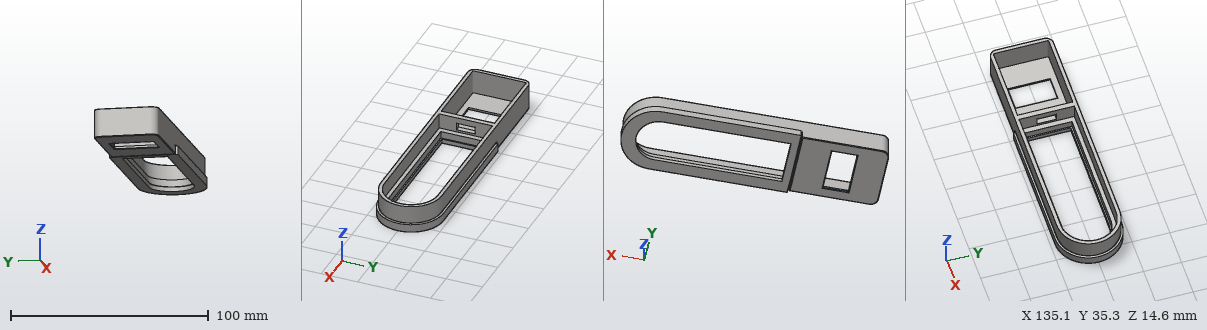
import cadquery as cq

length = 135.1
height = 14.6
bezel_width = 35.3
housing_width = 33.2
wall = 2.0

end_x = length - bezel_width / 2
opening_end_x = 115.9

corner_radius = 4.0
pocket_corner_radius = 0.7
bottom_chamfer = 0.4
floor_thickness = 1.5
divider_start = 43.5
divider_end = 46.3
step_x = 45.3
cavity_width = housing_width - 2 * wall

window_start = 15.8
window_length = 13.1
window_width = 22.4

slot_width = 10.3
slot_height = 3.9
slot_bottom = 7.4

bezel_start = 46.1
flange_height = 4.5
rim_height = 6.2
seat_height = 2.4
seat_start = 49.2
seat_width = 24.9
opening_start = 50.0
opening_width = 23.2


def round_ended_bar(start_x, width, bottom, top, centre_x=end_x):
    """Bar with a square end at start_x and a half-round end centred on centre_x."""
    radius = width / 2
    return (
        cq.Workplane("XY", origin=(0, 0, bottom))
        .moveTo(start_x, -radius)
        .lineTo(centre_x, -radius)
        .threePointArc((centre_x + radius, 0), (centre_x, radius))
        .lineTo(start_x, radius)
        .close()
        .extrude(top - bottom)
    )


def box(start_x, size_x, size_y, bottom, size_z):
    """Box centred on Y."""
    return cq.Workplane("XY", origin=(start_x, 0, bottom)).box(
        size_x, size_y, size_z, centered=(False, True, False)
    )


def make_housing():
    upper = round_ended_bar(0, housing_width, flange_height, height)
    lower = box(0, step_x, housing_width, 0, flange_height)
    body = upper.union(lower)
    body = body.edges("|Z and <X").fillet(corner_radius)

    body = body.cut(box(window_start, window_length, window_width, 0, height))
    body = body.faces("<Z").chamfer(bottom_chamfer)

    pocket_length = divider_start - wall
    pocket = box(wall, pocket_length, cavity_width, floor_thickness, height)
    pocket = pocket.edges("|Z and <X").fillet(pocket_corner_radius)

    cavity = round_ended_bar(divider_end, cavity_width, 0, height)

    slot = box(divider_start, divider_end - divider_start, slot_width, slot_bottom, slot_height)
    body = body.cut(pocket).cut(cavity).cut(slot)

    return body.edges(
        cq.selectors.BoxSelector(
            (end_x, -housing_width, flange_height - bottom_chamfer),
            (length, housing_width, flange_height + bottom_chamfer),
        )
    ).edges(">X").chamfer(bottom_chamfer)


def make_bezel():
    flange = round_ended_bar(bezel_start, bezel_width, 0, flange_height)
    rim = round_ended_bar(divider_end, cavity_width, 0, rim_height)
    seat = round_ended_bar(seat_start, seat_width, seat_height, rim_height, opening_end_x)
    opening = round_ended_bar(opening_start, opening_width, 0, rim_height, opening_end_x)
    return flange.union(rim).cut(seat).cut(opening)


housing = make_housing()
bezel = make_bezel()

result = cq.Compound.makeCompound([housing.val(), bezel.val()])